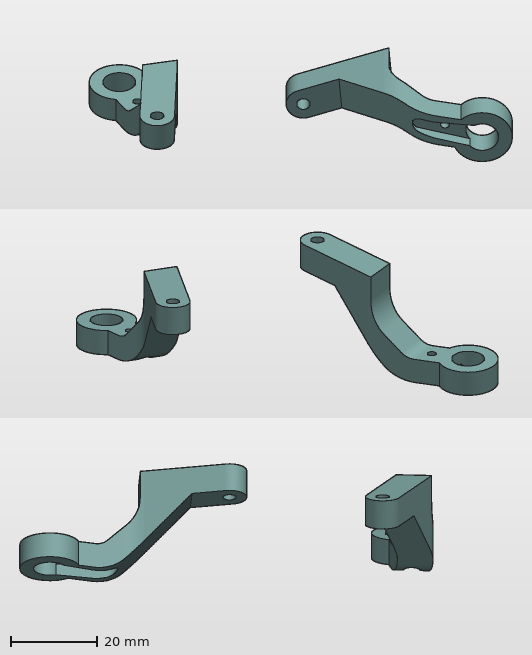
import cadquery as cq
import math

hub_radius = 7.0
hub_bore_radius = 3.75
hub_height = 6.0

arm_width = 8.0
bend_angle = 30
bend_radius = 10.0
pin_hole_distance = 8.75
pin_hole_radius = 1.0

total_length = 50.95
total_height = 25.35
eye_radius = arm_width / 2
eye_x = total_length - hub_radius - eye_radius
eye_y = -11.5
eye_hole_radius = 1.55
eye_thickness = 6.75

slot_depth = 2.8
slot_hub_half_width = 3.1
slot_tip_radius = 2.0
slot_tip_distance = 14.4

rise_angle = 45
wall_distance = 21.0
wall_fillet_radius = 10.0
upper_foot_distance = 12.1
upper_foot_radius = 4.05
lower_foot_distance = 14.2
lower_foot_radius = 10.0
profile_span = 2 * total_length


def arm_plan():
    """Full-height bent bar running from the hub centre to the eye."""
    angle = math.radians(bend_angle)
    half = arm_width / 2
    corner_x = eye_x + eye_y / math.tan(angle)
    corner_shift = half * math.tan(angle / 2)
    side_x = half * math.sin(angle)
    side_y = half * math.cos(angle)
    bar = (
        cq.Workplane("XY")
        .moveTo(0, -half)
        .lineTo(corner_x - corner_shift, -half)
        .lineTo(eye_x - side_x, eye_y - side_y)
        .lineTo(eye_x + side_x, eye_y + side_y)
        .lineTo(corner_x + corner_shift, half)
        .lineTo(0, half)
        .close()
        .extrude(total_height)
    )
    for side in (-1, 1):
        corner = (corner_x + side * corner_shift, side * half, total_height / 2)
        bar = bar.edges(cq.selectors.NearestToPointSelector(corner)).fillet(bend_radius)
    eye = cq.Workplane("XY").center(eye_x, eye_y).circle(eye_radius).extrude(total_height)
    return bar.union(eye)


def side_profile():
    """Stepped band that sets the top and bottom of the arm, square to the bend's bisector."""
    slope = math.tan(math.radians(rise_angle))
    eye_underside = total_height - eye_thickness
    wall_foot_height = hub_height + (wall_distance - upper_foot_distance) * slope
    underside_distance = lower_foot_distance + eye_underside / slope
    plane = cq.Plane(origin=(0, 0, 0), xDir=(1, 0, 0), normal=(0, -1, 0))
    band = (
        cq.Workplane(plane)
        .moveTo(-hub_radius, 0)
        .lineTo(lower_foot_distance, 0)
        .lineTo(underside_distance, eye_underside)
        .lineTo(profile_span, eye_underside)
        .lineTo(profile_span, total_height)
        .lineTo(wall_distance, total_height)
        .lineTo(wall_distance, wall_foot_height)
        .lineTo(upper_foot_distance, hub_height)
        .lineTo(-hub_radius, hub_height)
        .close()
        .extrude(profile_span / 2, both=True)
    )
    rounded_corners = (
        (lower_foot_distance, 0, lower_foot_radius),
        (upper_foot_distance, hub_height, upper_foot_radius),
        (wall_distance, wall_foot_height, wall_fillet_radius),
    )
    for distance, height, radius in rounded_corners:
        corner = cq.selectors.NearestToPointSelector((distance, 0, height))
        band = band.edges(corner).fillet(radius)
    return band.rotate((0, 0, 0), (0, 0, 1), -bend_angle / 2)


def underside_slot():
    """Cutter that narrows along the arm to a round tip."""
    return (
        cq.Workplane("XY")
        .moveTo(0, -slot_hub_half_width)
        .lineTo(slot_tip_distance, -slot_tip_radius)
        .threePointArc((slot_tip_distance + slot_tip_radius, 0), (slot_tip_distance, slot_tip_radius))
        .lineTo(0, slot_hub_half_width)
        .close()
        .extrude(slot_depth)
    )


def through_hole(x, y, radius):
    """Full-height cutter for a vertical hole."""
    return cq.Workplane("XY").center(x, y).circle(radius).extrude(total_height)


hub = cq.Workplane("XY").circle(hub_radius).extrude(hub_height)
result = arm_plan().intersect(side_profile()).union(hub).cut(underside_slot())

holes = (
    (0, 0, hub_bore_radius),
    (pin_hole_distance, 0, pin_hole_radius),
    (eye_x, eye_y, eye_hole_radius),
)
for hole_x, hole_y, hole_radius in holes:
    result = result.cut(through_hole(hole_x, hole_y, hole_radius))